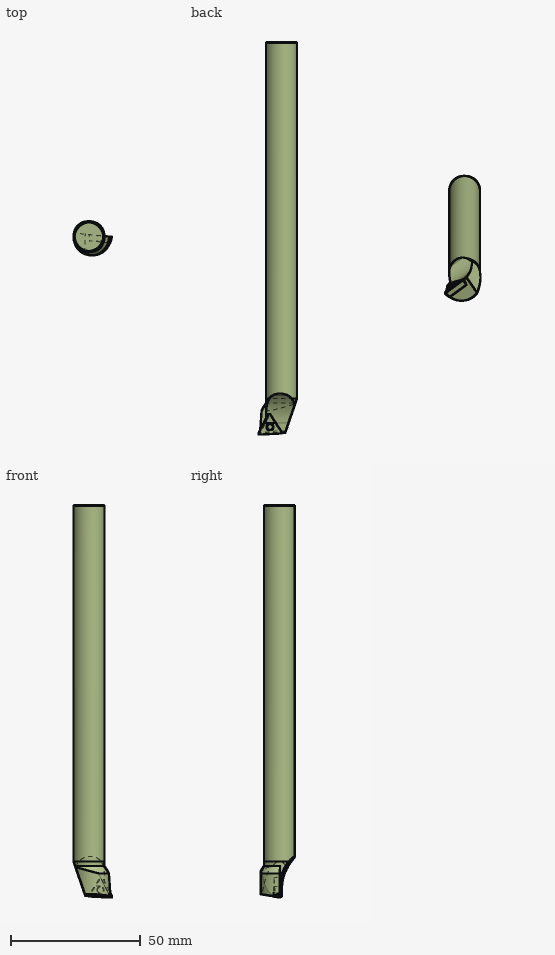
import cadquery as cq
import math


total_length = 151.25
tip_reach = 8.9

shank_diameter = 11.98
neck_diameter = 11.94
end_chamfer = 0.5
neck_top = 13.9
flare_top = 12.2
flare_bottom = 9.4

flare_radius = 7.7
head_radius = 8.4
relief_radius = 7.21
relief_offset = 1.2
back_angle = 19.0
back_top = 14.0
end_clearance = 0.3
end_relief_angle = 6.0

rake_angle = 5.5
runout_radius = 15.0
runout_start = 4.5
runout_sweep = 45.0

inscribed_diameter = 5.56
insert_thickness = 2.38
nose_radius = 0.4
insert_hole_diameter = 2.5
insert_relief_angle = 11.0
lead_angle = 3.0

cutter_size = 60.0

nose_x = tip_reach - nose_radius
nose_z = nose_radius
nose_inradius = inscribed_diameter / 2 - nose_radius


def place_at_nose(local):
    """Move a shape whose rake plane is local XZ and whose nose centre is the origin."""
    return local.rotate((0, 0, 0), (0, 0, 1), -rake_angle).translate((nose_x, 0, nose_z))


def make_insert_blank():
    centre_side = 2 * math.sqrt(3) * nose_inradius
    blank = (
        cq.Workplane("XZ")
        .polyline([(0, 0), (-centre_side, 0), (-centre_side / 2, centre_side * math.sqrt(3) / 2)])
        .close()
        .offset2D(nose_radius)
        .extrude(insert_thickness, taper=insert_relief_angle)
    )
    blank = blank.rotate((0, 0, 0), (0, 1, 0), lead_angle)
    return place_at_nose(blank)


def make_insert_hole():
    hole = (
        cq.Workplane("XZ")
        .center(-math.sqrt(3) * nose_inradius, nose_inradius)
        .circle(insert_hole_diameter / 2)
        .extrude(insert_thickness)
    )
    hole = hole.rotate((0, 0, 0), (0, 1, 0), lead_angle)
    return place_at_nose(hole)


def make_turned_body():
    shank_radius = shank_diameter / 2
    neck_radius = neck_diameter / 2
    return (
        cq.Workplane("XZ")
        .polyline([
            (0, 0),
            (head_radius, 0),
            (flare_radius, flare_bottom),
            (neck_radius, flare_top),
            (neck_radius, neck_top),
            (shank_radius, neck_top),
            (shank_radius, total_length - end_chamfer),
            (shank_radius - end_chamfer, total_length),
            (0, total_length),
        ])
        .close()
        .revolve(360, (0, 0, 0), (0, 1, 0))
    )


def make_head_relief():
    """Ring that trims the head to the eccentric cylinder, below the neck."""
    return (
        cq.Workplane("XY")
        .center(relief_offset, 0)
        .circle(cutter_size)
        .circle(relief_radius)
        .extrude(flare_top)
    )


def make_back_cutter():
    return (
        cq.Workplane("XY")
        .box(cutter_size, cutter_size, cutter_size, centered=(True, True, False))
        .translate((-cutter_size / 2, 0, -cutter_size))
        .rotate((0, 0, 0), (0, 1, 0), -back_angle)
        .translate((-shank_diameter / 2, 0, back_top))
    )


def make_end_cutter():
    return (
        cq.Workplane("XY")
        .box(cutter_size, cutter_size, cutter_size)
        .translate((0, 0, -cutter_size / 2))
        .rotate((0, 0, 0), (1, 0, 0), -end_relief_angle)
        .rotate((0, 0, 0), (0, 1, 0), lead_angle)
        .translate((nose_x, 0, end_clearance))
    )


def make_rake_cutter():
    """Flat rake face that curves out to the +Y side of the shank and ends in a straight slope."""
    half_sweep = math.radians(runout_sweep / 2)
    full_sweep = math.radians(runout_sweep)
    arc_start = runout_start - nose_z
    arc_middle = (
        runout_radius * (1 - math.cos(half_sweep)),
        arc_start + runout_radius * math.sin(half_sweep),
    )
    arc_end = (
        runout_radius * (1 - math.cos(full_sweep)),
        arc_start + runout_radius * math.sin(full_sweep),
    )
    slope_end = (
        arc_end[0] + cutter_size * math.sin(full_sweep),
        arc_end[1] + cutter_size * math.cos(full_sweep),
    )
    cutter = (
        cq.Workplane("YZ")
        .moveTo(0, -cutter_size)
        .lineTo(0, arc_start)
        .threePointArc(arc_middle, arc_end)
        .lineTo(*slope_end)
        .lineTo(slope_end[0], -cutter_size)
        .close()
        .extrude(cutter_size, both=True)
    )
    return place_at_nose(cutter)


def make_flare_cutter():
    """Carries the flat rake face up past the flare, everywhere outside the neck."""
    block = cq.Workplane("XY").box(cutter_size, cutter_size, cutter_size, centered=(True, False, True))
    below_shank = cq.Workplane("XY").circle(cutter_size).circle(neck_diameter / 2).extrude(neck_top)
    return place_at_nose(block).intersect(below_shank)


insert_blank = make_insert_blank()
insert = insert_blank.cut(make_insert_hole())
bar = (
    make_turned_body()
    .cut(make_head_relief())
    .cut(make_back_cutter())
    .cut(make_end_cutter())
    .cut(make_rake_cutter())
    .cut(make_flare_cutter())
    .cut(insert_blank)
)

result = cq.Compound.makeCompound([bar.val(), insert.val()])